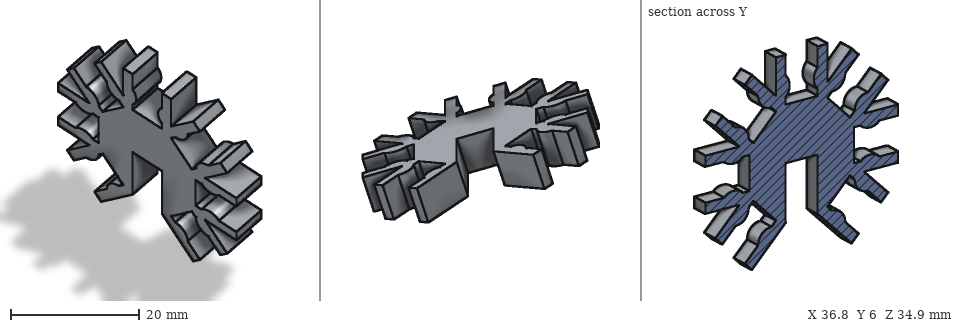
import cadquery as cq

THICKNESS = 6.0
CHANNEL_WIDTH = 6.0
BAY_WIDTH = 9.8995
FLOOR_RADIUS = 10.0
TIP_RADIUS = 18.3848
BUMP_RADIUS = 2.55
BUMP_HEIGHT = 0.75
BUMP_OFFSET = 13.0
SLOT_WIDTH = 6.0
BAY_COUNT = 8

PITCH_ANGLE = 360.0 / BAY_COUNT
FIN_THICKNESS = (BAY_WIDTH - CHANNEL_WIDTH) / 2
FIN_CENTRE = (BAY_WIDTH + CHANNEL_WIDTH) / 4
BUMP_CENTRE = CHANNEL_WIDTH / 2 - BUMP_HEIGHT + BUMP_RADIUS


def block(width, bottom, top, centre_x=0.0):
    """Rectangular block spanning bottom..top in Z, centred in Y."""
    height = top - bottom
    centre = (centre_x, 0, bottom + height / 2)
    return cq.Workplane("XY").box(width, THICKNESS, height).translate(centre)


def fin(side):
    """One fin of the upright bay with its bump; side is -1 or +1."""
    blade = block(FIN_THICKNESS, FLOOR_RADIUS, TIP_RADIUS, side * FIN_CENTRE)
    bump = (
        cq.Workplane("XZ")
        .center(side * BUMP_CENTRE, BUMP_OFFSET)
        .circle(BUMP_RADIUS)
        .extrude(THICKNESS / 2, both=True)
    )
    channel = block(CHANNEL_WIDTH, FLOOR_RADIUS, TIP_RADIUS)
    return blade.union(bump.intersect(channel))


def bay():
    """Upright bay: its share of the hub and the two fins facing each other."""
    return block(BAY_WIDTH, 0, FLOOR_RADIUS).union(fin(-1)).union(fin(1))


def heat_sink():
    """Bays all around the hub except at the bottom, where the slot opens."""
    upright = bay()
    body = upright
    slot_index = BAY_COUNT // 2
    for index in range(1, BAY_COUNT):
        if index != slot_index:
            body = body.union(upright.rotate((0, 0, 0), (0, 1, 0), index * PITCH_ANGLE))
    return body.cut(block(SLOT_WIDTH, -TIP_RADIUS, 0)).clean()


result = heat_sink()